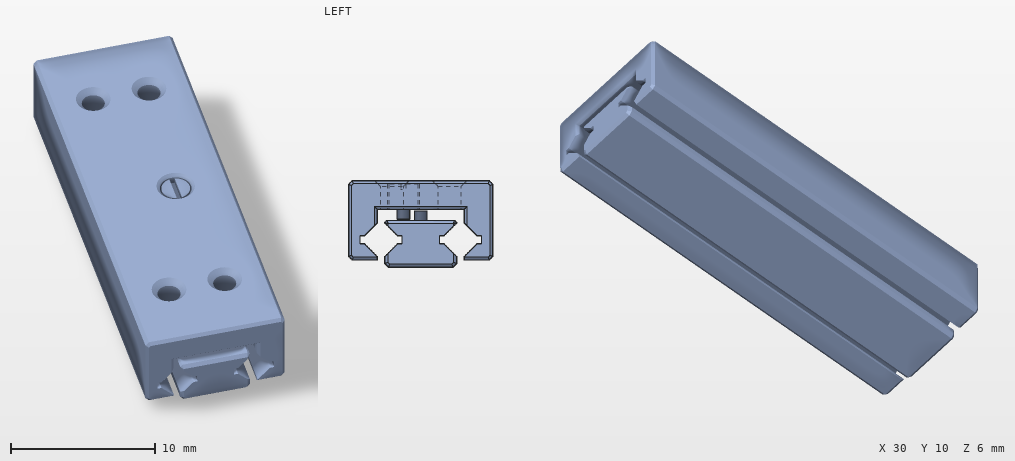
import cadquery as cq

length = 30.0
height = 6.0

carriage_width = 10.0
carriage_bottom = 0.5
carriage_edge_chamfer = 0.25
carriage_end_chamfer = 0.2
channel_half_width = 3.0
channel_ceiling = 4.0
channel_chamfer = 0.2
roof_thickness = height - channel_ceiling

rail_half_width = 2.5
rail_top = 3.25
rail_end_chamfer = 0.22
rail_top_chamfer = 0.15
rail_bottom_chamfer = 0.25

groove_z = 1.9
groove_half_opening = 1.17
relief_half_height = 0.27
relief_depth = 0.3
flank_depth = groove_half_opening - relief_half_height
groove_top = groove_z + groove_half_opening
groove_bottom = groove_z - groove_half_opening
relief_top = groove_z + relief_half_height
relief_bottom = groove_z - relief_half_height

mount_pitch_x = 20.0
mount_pitch_y = 4.0
mount_diameter = 1.6
mount_mouth_diameter = 2.4
mouth_angle = 90

screw_y = 1.2
screw_hole_diameter = 2.2
screw_mouth_diameter = 2.65
screw_mouth_depth = (screw_mouth_diameter - screw_hole_diameter) / 2
screw_diameter = 2.0
screw_top = height - screw_mouth_depth
screw_slot_width = 0.37
screw_slot_depth = 0.4
screw_tip_diameter = 0.9
screw_tip_bottom = 3.3
screw_tip_chamfer = 0.05

pin_diameter = 0.9
pin_top = 3.9


def groove_points(mouth_y, direction):
    """Points (y, z) of a V-groove from top to bottom; direction is the sign of Y into the wall."""
    root_y = mouth_y + direction * flank_depth
    relief_y = root_y + direction * relief_depth
    return [
        (mouth_y, groove_top),
        (root_y, relief_top),
        (relief_y, relief_top),
        (relief_y, relief_bottom),
        (root_y, relief_bottom),
        (mouth_y, groove_bottom),
    ]


def symmetric_bar(right_half):
    """Bar along X whose outline is the given (y, z) points and their mirror image about Y = 0."""
    left_half = [(-y, z) for y, z in reversed(right_half)]
    return cq.Workplane("YZ").polyline(right_half + left_half).close().extrude(length / 2, both=True)


def beveled_bar(width, bottom, top, top_chamfer, bottom_chamfer, end_chamfer):
    """Bar along X with chamfered long edges, then chamfered around both end faces."""
    bar = cq.Workplane("XY", origin=(0, 0, bottom)).box(
        length, width, top - bottom, centered=(True, True, False)
    )
    bar = bar.edges("|X and >Z").chamfer(top_chamfer)
    bar = bar.edges("|X and <Z").chamfer(bottom_chamfer)
    return bar.faces("<X or >X").edges().chamfer(end_chamfer)


def channel_end_bevel(x_sign):
    """Frustum that bevels the ceiling and the upper side walls of the channel at one end."""
    bevel_bottom = groove_top - channel_chamfer
    inner_height = channel_ceiling - bevel_bottom
    outer_height = inner_height + channel_chamfer
    inner_width = 2 * channel_half_width
    outer_width = inner_width + 2 * channel_chamfer
    return (
        cq.Workplane("YZ", origin=(x_sign * (length / 2 - channel_chamfer), 0, 0))
        .center(0, bevel_bottom + inner_height / 2)
        .rect(inner_width, inner_height)
        .workplane(offset=x_sign * channel_chamfer)
        .center(0, channel_chamfer / 2)
        .rect(outer_width, outer_height)
        .loft(combine=True)
    )


def make_carriage():
    body = beveled_bar(
        carriage_width,
        carriage_bottom,
        height,
        carriage_edge_chamfer,
        carriage_edge_chamfer,
        carriage_end_chamfer,
    )

    channel = symmetric_bar(
        [
            (channel_half_width, channel_ceiling),
            *groove_points(channel_half_width, 1),
            (channel_half_width, 0),
        ]
    )
    body = body.cut(channel)
    for x_sign in (-1, 1):
        body = body.cut(channel_end_bevel(x_sign))

    body = (
        body.faces(">Z")
        .workplane(origin=(0, 0, height))
        .rarray(mount_pitch_x, mount_pitch_y, 2, 2)
        .cskHole(mount_diameter, mount_mouth_diameter, mouth_angle, roof_thickness)
    )

    return (
        body.faces(">Z")
        .workplane(origin=(0, screw_y, height))
        .cskHole(screw_hole_diameter, screw_mouth_diameter, mouth_angle, roof_thickness)
    )


def make_rail():
    grooved_bar = symmetric_bar(
        [
            (rail_half_width, rail_top),
            *groove_points(rail_half_width, -1),
            (rail_half_width, 0),
        ]
    )
    envelope = beveled_bar(
        2 * rail_half_width, 0, rail_top, rail_top_chamfer, rail_bottom_chamfer, rail_end_chamfer
    )
    return grooved_bar.intersect(envelope)


def make_screw():
    body = (
        cq.Workplane("XY", origin=(0, screw_y, channel_ceiling))
        .circle(screw_diameter / 2)
        .extrude(screw_top - channel_ceiling)
    )
    tip = (
        cq.Workplane("XY", origin=(0, screw_y, screw_tip_bottom))
        .circle(screw_tip_diameter / 2)
        .extrude(channel_ceiling - screw_tip_bottom)
        .faces("<Z")
        .chamfer(screw_tip_chamfer)
    )
    slot = cq.Workplane("XY", origin=(0, screw_y, screw_top - screw_slot_depth)).box(
        screw_diameter, screw_slot_width, screw_slot_depth, centered=(True, True, False)
    )
    return body.union(tip).cut(slot)


def make_pin():
    return (
        cq.Workplane("XY", origin=(0, 0, rail_top))
        .circle(pin_diameter / 2)
        .extrude(pin_top - rail_top)
    )


carriage = make_carriage()
rail = make_rail()
screw = make_screw()
pin = make_pin()

result = cq.Compound.makeCompound([body.solids().val() for body in (carriage, rail, screw, pin)])